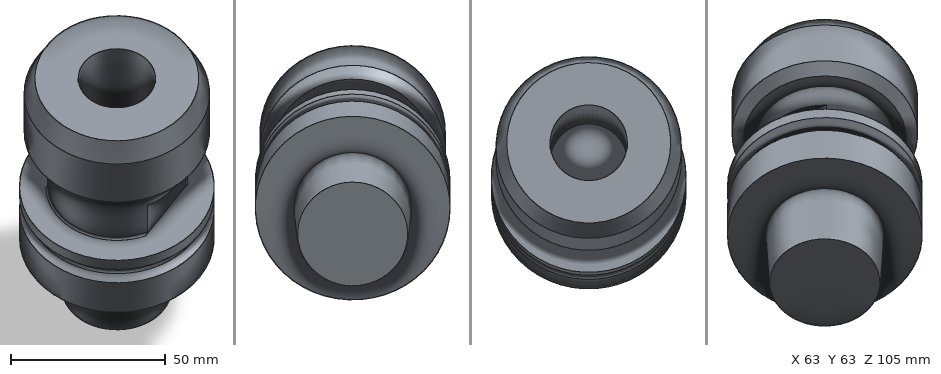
import cadquery as cq
import math


shank_length = 25.0
shank_top_radius = 19.1
shank_end_radius = 18.0
shank_end_bevel_height = 0.75
shank_end_bevel_inset = 0.2

flange_radius = 31.5
flange_height = 26.0
groove_floor_radius = 27.5
groove_center_z = 18.125
groove_floor_width = 3.75
groove_mouth_width = 6.75
groove_flank_angle = 30.0

neck_radius = 22.35
neck_fillet = 0.7
flat_distance = 38.0
flat_height = 14.0

nut_radius = 30.0
nut_bottom_z = 50.0
nut_height = 30.0
nut_top_radius = 26.5
nut_top_cone_height = 7.5
nut_bottom_chamfer = 3.5
bore_diameter = 25.0
bore_depth = nut_height

nut_top_z = nut_bottom_z + nut_height


def revolve_outline(outline):
    """Close a half outline drawn in radius and height and turn it about Z."""
    return outline.close().revolve(360, (0, 0, 0), (0, 1, 0))


def make_shank():
    profile = [
        (0, 0),
        (shank_top_radius, 0),
        (shank_end_radius, shank_end_bevel_height - shank_length),
        (shank_end_radius - shank_end_bevel_inset, -shank_length),
        (0, -shank_length),
    ]
    return revolve_outline(cq.Workplane("XZ").polyline(profile))


def make_groove_cutter():
    """Ring with a flat floor, square steps and flared flanks."""
    floor_half = groove_floor_width / 2
    mouth_half = groove_mouth_width / 2
    flank_depth = (mouth_half - floor_half) / math.tan(math.radians(groove_flank_angle))
    flank_radius = flange_radius - flank_depth
    profile = [
        (groove_floor_radius, groove_center_z - floor_half),
        (flank_radius, groove_center_z - floor_half),
        (flange_radius, groove_center_z - mouth_half),
        (flange_radius, groove_center_z + mouth_half),
        (flank_radius, groove_center_z + floor_half),
        (groove_floor_radius, groove_center_z + floor_half),
    ]
    return revolve_outline(cq.Workplane("XZ").polyline(profile))


def make_flange():
    flange = cq.Workplane("XY").circle(flange_radius).extrude(flange_height)
    return flange.cut(make_groove_cutter())


def make_neck():
    """Cylinder with a fillet flaring out at its foot, cut by a flat on -X and +X."""
    foot_radius = neck_radius + neck_fillet
    fillet_center = (foot_radius, flange_height + neck_fillet)
    fillet_middle = (
        fillet_center[0] - neck_fillet * math.cos(math.pi / 4),
        fillet_center[1] - neck_fillet * math.sin(math.pi / 4),
    )
    outline = (
        cq.Workplane("XZ")
        .moveTo(0, flange_height)
        .lineTo(foot_radius, flange_height)
        .threePointArc(fillet_middle, (neck_radius, fillet_center[1]))
        .lineTo(neck_radius, nut_bottom_z)
        .lineTo(0, nut_bottom_z)
    )
    neck = revolve_outline(outline)
    for side in (-1, 1):
        flat_cutter = cq.Workplane("XY").box(
            foot_radius, 2 * foot_radius, flat_height, centered=(True, True, False)
        )
        cutter_x = side * (flat_distance + foot_radius) / 2
        neck = neck.cut(flat_cutter.translate((cutter_x, 0, flange_height)))
    return neck


def make_nut():
    profile = [
        (0, nut_bottom_z),
        (nut_radius - nut_bottom_chamfer, nut_bottom_z),
        (nut_radius, nut_bottom_z + nut_bottom_chamfer),
        (nut_radius, nut_top_z - nut_top_cone_height),
        (nut_top_radius, nut_top_z),
        (0, nut_top_z),
    ]
    nut = revolve_outline(cq.Workplane("XZ").polyline(profile))
    bore = cq.Workplane("XY").circle(bore_diameter / 2).extrude(-bore_depth)
    return nut.cut(bore.translate((0, 0, nut_top_z)))


result = make_shank().union(make_flange()).union(make_neck()).union(make_nut())